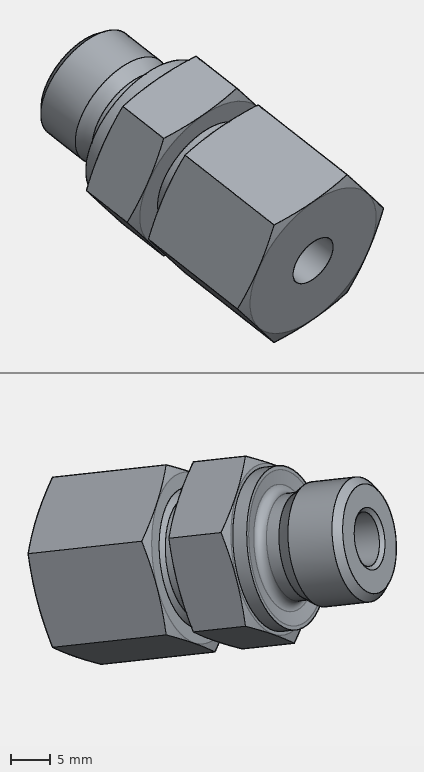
import cadquery as cq
import math


LENGTH = 43.0
THREAD_END = 7.4
RELIEF_FILLET_START = 11.15
COLLAR_START = 12.0
STUD_HEX_START = 14.0
STUD_HEX_END = 22.55
UNDERCUT_END = 25.3
NUT_START = 25.55
STUD_END = 33.95

ACROSS_FLATS = 22.0
HEX_CHAMFER_ANGLE = 15.0
CHAMFER_CIRCLE_RADIUS = 10.95

THREAD_RADIUS = 8.0
TIP_BEVEL = 1.0
RELIEF_RADIUS = 6.9
COLLAR_RADIUS = 10.5
UNDERCUT_RADIUS = 7.85
NUT_THREAD_RADIUS = 9.05
RUNOUT_ANGLE = 30.0

DISH_OUTER_RADIUS = 9.98
DISH_INNER_RADIUS = 8.13
DISH_ANGLE = 9.0

BORE_RADIUS = 3.5
BORE_CHAMFER = 0.5


def axial_cylinder(radius, start, end):
    """Cylinder on the X axis between two stations."""
    return cq.Workplane("YZ", origin=(start, 0, 0)).circle(radius).extrude(end - start)


def chamfered_hexagon(start, end):
    """Hexagonal prism with corners on +Y and -Y, its two ends turned down to shallow cones."""
    corner_radius = ACROSS_FLATS / math.sqrt(3)
    drop = (corner_radius - CHAMFER_CIRCLE_RADIUS) * math.tan(math.radians(HEX_CHAMFER_ANGLE))
    prism = cq.Workplane("YZ", origin=(start, 0, 0)).polygon(6, 2 * corner_radius).extrude(end - start)
    envelope = (
        cq.Workplane("XY")
        .moveTo(start, 0)
        .lineTo(start, CHAMFER_CIRCLE_RADIUS)
        .lineTo(start + drop, corner_radius)
        .lineTo(end - drop, corner_radius)
        .lineTo(end, CHAMFER_CIRCLE_RADIUS)
        .lineTo(end, 0)
        .close()
        .revolve(360, (0, 0, 0), (1, 0, 0))
    )
    return prism.intersect(envelope)


def runout_length(rise):
    """Axial length of a thread runout cone that climbs by the given radius."""
    return rise / math.tan(math.radians(RUNOUT_ANGLE))


def threaded_end():
    """Bevelled thread, relief groove and collar with its dished sealing face."""
    relief_start = THREAD_END + runout_length(THREAD_RADIUS - RELIEF_RADIUS)
    dish_depth = (DISH_OUTER_RADIUS - DISH_INNER_RADIUS) * math.tan(math.radians(DISH_ANGLE))
    dish_bottom = COLLAR_START + dish_depth
    return (
        cq.Workplane("XY")
        .lineTo(0, THREAD_RADIUS - TIP_BEVEL)
        .lineTo(TIP_BEVEL, THREAD_RADIUS)
        .lineTo(THREAD_END, THREAD_RADIUS)
        .lineTo(relief_start, RELIEF_RADIUS)
        .lineTo(RELIEF_FILLET_START, RELIEF_RADIUS)
        .tangentArcPoint((dish_bottom, DISH_INNER_RADIUS), relative=False)
        .lineTo(COLLAR_START, DISH_OUTER_RADIUS)
        .lineTo(COLLAR_START, COLLAR_RADIUS)
        .lineTo(STUD_HEX_START, COLLAR_RADIUS)
        .lineTo(STUD_HEX_START, 0)
        .close()
        .revolve(360, (0, 0, 0), (1, 0, 0))
    )


def nut_end():
    """Undercut behind the hexagon, then the thread that carries the nut."""
    runout_end = UNDERCUT_END + runout_length(NUT_THREAD_RADIUS - UNDERCUT_RADIUS)
    return (
        cq.Workplane("XY")
        .moveTo(STUD_HEX_END, 0)
        .lineTo(STUD_HEX_END, UNDERCUT_RADIUS)
        .lineTo(UNDERCUT_END, UNDERCUT_RADIUS)
        .lineTo(runout_end, NUT_THREAD_RADIUS)
        .lineTo(STUD_END, NUT_THREAD_RADIUS)
        .lineTo(STUD_END, 0)
        .close()
        .revolve(360, (0, 0, 0), (1, 0, 0))
    )


def bore():
    """Through bore with a chamfered mouth at the stud's tip."""
    mouth = (
        cq.Workplane("XY")
        .lineTo(0, BORE_RADIUS + BORE_CHAMFER)
        .lineTo(BORE_CHAMFER, BORE_RADIUS)
        .lineTo(BORE_CHAMFER, 0)
        .close()
        .revolve(360, (0, 0, 0), (1, 0, 0))
    )
    return axial_cylinder(BORE_RADIUS, 0, LENGTH).union(mouth)


def make_stud():
    """Stud body: threaded end, hexagon and nut end in one piece, bored through."""
    outside = threaded_end().union(chamfered_hexagon(STUD_HEX_START, STUD_HEX_END)).union(nut_end())
    return outside.cut(bore())


def make_nut():
    """Union nut: hexagon with a round recess for the stud's thread and a through hole."""
    recess = axial_cylinder(NUT_THREAD_RADIUS, NUT_START, STUD_END)
    return chamfered_hexagon(NUT_START, LENGTH).cut(recess).cut(bore())


stud = make_stud()
nut = make_nut()

result = cq.Compound.makeCompound([stud.val(), nut.val()])